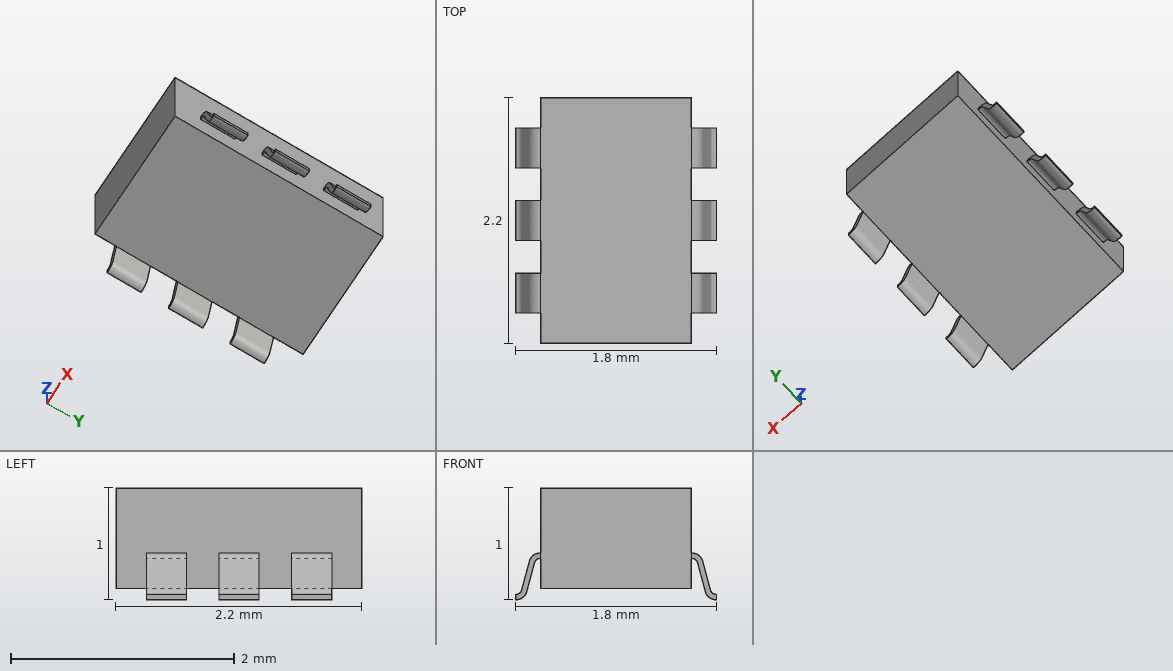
import cadquery as cq
import math

overall_width = 1.8
body_width = 1.35
body_length = 2.2
body_height = 0.9
standoff = 0.1

lead_count_per_side = 3
lead_pitch = 0.65
lead_width = 0.36
lead_thickness = 0.05
lead_top = 0.42
inner_bend_radius = 0.05
outer_bend_radius = inner_bend_radius + lead_thickness
shank_tilt = 15.0


def make_body():
    """Plain rectangular housing raised above the board plane."""
    return (
        cq.Workplane("XY")
        .workplane(offset=standoff)
        .rect(body_width, body_length)
        .extrude(body_height)
    )


def make_lead(side, y_center):
    """Lead bent from a strip; side is +1 or -1 for the X direction it points in."""
    bend_radius = inner_bend_radius + lead_thickness / 2
    turn = math.radians(90 - shank_tilt)
    body_side = body_width / 2
    foot_tip = overall_width / 2
    start_height = lead_top - lead_thickness / 2
    foot_height = lead_thickness / 2

    bend_run = bend_radius * math.sin(turn)
    bend_drop = bend_radius * (1 - math.cos(turn))
    shank_drop = start_height - foot_height - 2 * bend_drop
    shank_run = shank_drop / math.tan(turn)
    flat = (foot_tip - body_side - 2 * bend_run - shank_run) / 2

    upper_x = body_side + flat
    upper_z = start_height - bend_radius
    lower_x = foot_tip - flat
    lower_z = foot_height + bend_radius

    def upper_point(radius, angle):
        return side * (upper_x + radius * math.sin(angle)), upper_z + radius * math.cos(angle)

    def lower_point(radius, angle):
        return side * (lower_x - radius * math.sin(angle)), lower_z - radius * math.cos(angle)

    profile = (
        cq.Workplane("XZ", origin=(0, y_center + lead_width / 2, 0))
        .moveTo(side * body_side, lead_top)
        .lineTo(*upper_point(outer_bend_radius, 0))
        .threePointArc(upper_point(outer_bend_radius, turn / 2), upper_point(outer_bend_radius, turn))
        .lineTo(*lower_point(inner_bend_radius, turn))
        .threePointArc(lower_point(inner_bend_radius, turn / 2), lower_point(inner_bend_radius, 0))
        .lineTo(side * foot_tip, lead_thickness)
        .lineTo(side * foot_tip, 0)
        .lineTo(*lower_point(outer_bend_radius, 0))
        .threePointArc(lower_point(outer_bend_radius, turn / 2), lower_point(outer_bend_radius, turn))
        .lineTo(*upper_point(inner_bend_radius, turn))
        .threePointArc(upper_point(inner_bend_radius, turn / 2), upper_point(inner_bend_radius, 0))
        .lineTo(side * body_side, lead_top - lead_thickness)
        .close()
    )
    return profile.extrude(lead_width)


body = make_body()

leads = []
for side in (-1, 1):
    for index in range(lead_count_per_side):
        y_center = (index - (lead_count_per_side - 1) / 2) * lead_pitch
        leads.append(make_lead(side, y_center).val())

result = cq.Compound.makeCompound([body.val(), *leads])